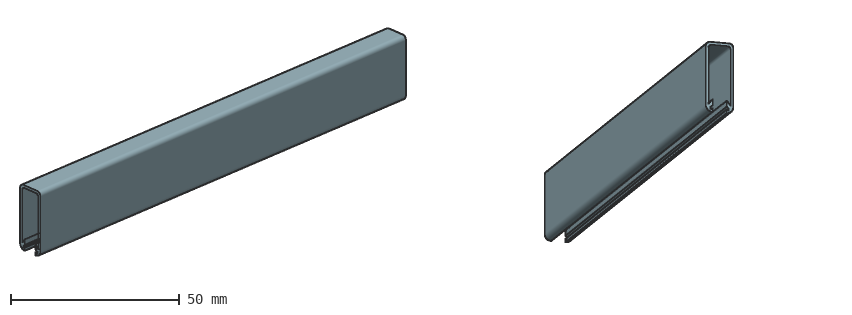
import cadquery as cq

width = 8.64
length = 152.4
height = 21.51
wall = 0.9

top_radius = 1.4
inner_top_radius = 1.0
bottom_radius = 2.0

mouth_width = 4.45
barb_tip_height = 3.8
barb_face_height = 1.8
barb_back_drop = 1.4
lip_face_height = 1.06
groove_depth = 0.68
groove_floor_drop = 0.25

inner_half = width / 2 - wall
mouth_half = mouth_width / 2


def bar(bar_width, bottom, top):
    """Full-length rectangular bar centred on X and Y between two heights."""
    return (
        cq.Workplane("XY")
        .workplane(offset=bottom)
        .rect(bar_width, length)
        .extrude(top - bottom)
    )


def prism(points):
    """Full-length prism with the given X-Z outline, centred on Y."""
    return cq.Workplane("XZ").polyline(points).close().extrude(length / 2, both=True)


def outer_body():
    """Solid envelope with rounded lengthwise corners."""
    body = bar(width, 0, height)
    body = body.edges("|Y and >Z").fillet(top_radius)
    return body.edges("|Y and <Z").fillet(bottom_radius)


def cavity():
    """Space between the side walls, above the barb tips."""
    space = bar(2 * inner_half, barb_tip_height, height - wall)
    return space.edges("|Y and >Z").fillet(inner_top_radius)


def mouth():
    """Slot between the two lips, up to the cavity."""
    return bar(mouth_width, 0, barb_tip_height)


def barb_back():
    """Wedge behind the right barb, sloping down from its tip to the wall."""
    return prism(
        [
            (mouth_half, barb_tip_height),
            (inner_half, barb_tip_height),
            (inner_half, barb_tip_height - barb_back_drop),
        ]
    )


def lip_groove():
    """Groove between the right lip and its barb, running outward and down."""
    barb_bottom = barb_tip_height - barb_face_height
    root_half = mouth_half + groove_depth
    return prism(
        [
            (mouth_half, lip_face_height),
            (root_half, lip_face_height - groove_floor_drop),
            (root_half, barb_bottom - groove_depth),
            (mouth_half, barb_bottom),
        ]
    )


result = outer_body().cut(cavity()).cut(mouth())
for side_cut in (barb_back(), lip_groove()):
    result = result.cut(side_cut).cut(side_cut.mirror("YZ"))